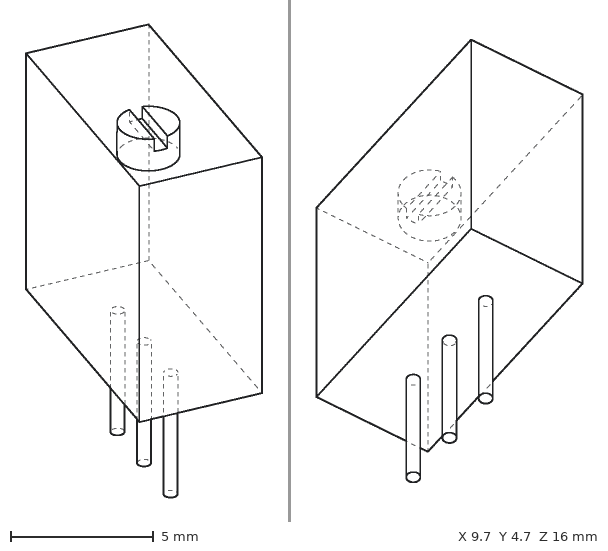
import cadquery as cq

body_width = 9.7
body_depth = 4.7
body_height = 9.7

pin_diameter = 0.5
pin_length = 5.0
pin_pitch = 2.27
pin_count = 3

screw_diameter = 2.2
screw_height = 1.3
screw_x = 3.05
screw_edge_gap = 0.05
screw_y = -body_depth / 2 + screw_edge_gap + screw_diameter / 2

slot_width = 0.5
slot_depth = 0.5


def make_body():
    return cq.Workplane("XY").box(body_width, body_depth, body_height, centered=(True, True, False))


def make_pins():
    """Row of round pins hanging from the underside of the housing."""
    return (
        cq.Workplane("XY")
        .rarray(pin_pitch, 1, pin_count, 1)
        .circle(pin_diameter / 2)
        .extrude(-pin_length)
    )


def make_screw():
    """Round screw head with a screwdriver slot open at both ends."""
    head = (
        cq.Workplane("XY", origin=(screw_x, screw_y, body_height))
        .circle(screw_diameter / 2)
        .extrude(screw_height)
    )
    slot = (
        cq.Workplane("XY", origin=(screw_x, screw_y, body_height + screw_height - slot_depth))
        .rect(screw_diameter, slot_width)
        .extrude(slot_depth)
    )
    return head.cut(slot)


result = make_body().union(make_pins()).union(make_screw())